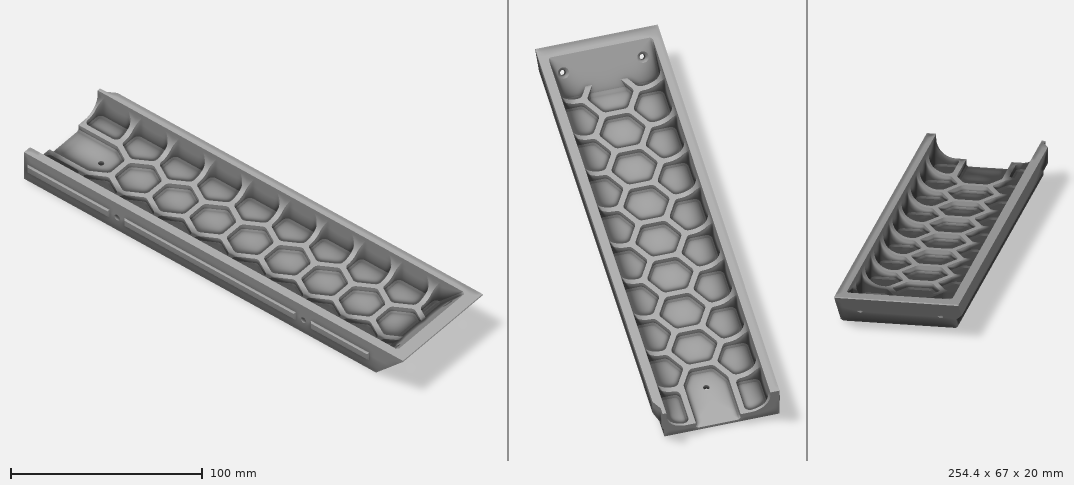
import cadquery as cq
import math

HEIGHT = 20.0
TOP_LENGTH = 255.0
HALF_WIDTH = 33.0
TIP_CHAMFER = 0.8
BASE_CHAMFER = 1.2

LIP_OVERHANG = 4.0
LIP_FACE_HEIGHT = 9.0
LIP_START_OVERHANG = 1.0
LIP_RAMP_START = 4.0
LIP_RAMP_ANGLE = 30.0

CAVITY_HALF_WIDTH = 28.0
END_WALL_ALONG_X = 8.3
FLOOR_Z = 3.0
RIB_TOP_Z = 7.0
SCOOP_RADIUS = 10.5
END_WALL_SIDE_CHAMFER = 1.0
END_WALL_FLOOR_CHAMFER = math.sqrt(2)

CELL_PITCH = 25.0
RIB_WIDTH = 3.0
CELL_CORNER_RADIUS = 3.0
CELL_FLOOR_CHAMFER = 1.0
MIDDLE_CELLS = 9
SIDE_CELLS = 9
CHANNEL_HALF_WIDTH = 12.0

RAIL_SPANS = [(2.5, 57.5), (67.5, 182.5), (192.5, 231.7)]
RAIL_HEIGHT = 5.2
RAIL_DEPTH = 1.0
RAIL_CHAMFER = 0.8
RAIL_Z = 10.0
PIN_HOLES_X = [62.5, 187.5]
PIN_HOLE_DIAMETER = 3.6
PIN_HOLE_DEPTH = 4.0

FLOOR_HOLE_X = 25.0
FLOOR_HOLE_DIAMETER = 3.3
SCREW_Y = 21.4
SCREW_Z = 13.4
SCREW_HEAD_DIAMETER = 6.0
SCREW_DIAMETER = 3.0

SIDE_ROW_Y = CELL_PITCH * math.sqrt(3) / 2
CELL_FLATS = CELL_PITCH - RIB_WIDTH
CAVITY_TOP_LENGTH = TOP_LENGTH - END_WALL_ALONG_X
END_WALL_THICKNESS = END_WALL_ALONG_X * math.sqrt(0.5)


def sloped_prism(top_length, half_width, z_bottom):
    """Prism along X whose +X end leans out at 45 degrees up to top_length."""
    rise = HEIGHT - z_bottom
    return (
        cq.Workplane("XZ")
        .moveTo(0, z_bottom)
        .lineTo(top_length - rise, z_bottom)
        .lineTo(top_length, HEIGHT)
        .lineTo(0, HEIGHT)
        .close()
        .extrude(half_width, both=True)
    )


def base_body():
    """Tray block with the lip overhang, its tip and base edges chamfered."""
    block = sloped_prism(TOP_LENGTH, HALF_WIDTH, 0)
    block = block.edges(">X").chamfer(TIP_CHAMFER)
    lower_side = HALF_WIDTH - LIP_OVERHANG
    shoulder_z = HEIGHT - LIP_FACE_HEIGHT - LIP_OVERHANG
    under_lip = (
        cq.Workplane("YZ")
        .moveTo(lower_side, 0)
        .lineTo(lower_side, shoulder_z)
        .lineTo(HALF_WIDTH, shoulder_z + LIP_OVERHANG)
        .lineTo(HALF_WIDTH, 0)
        .close()
        .extrude(TOP_LENGTH)
    )
    return block.cut(under_lip).faces("<Z").edges("not >X").chamfer(BASE_CHAMFER)


def lip_lead_in():
    """Cutter that ramps the lip away at the -X end."""
    start_y = HALF_WIDTH - LIP_OVERHANG + LIP_START_OVERHANG
    ramp_length = (HALF_WIDTH - start_y) / math.tan(math.radians(LIP_RAMP_ANGLE))
    return (
        cq.Workplane("XY")
        .moveTo(0, start_y)
        .lineTo(LIP_RAMP_START, start_y)
        .lineTo(LIP_RAMP_START + ramp_length, HALF_WIDTH)
        .lineTo(0, HALF_WIDTH)
        .close()
        .extrude(HEIGHT)
    )


def cavity_envelope():
    """Largest extent of the hollow: chamfered where the sloped end meets floor and walls."""
    envelope = sloped_prism(CAVITY_TOP_LENGTH, CAVITY_HALF_WIDTH, FLOOR_Z)
    envelope = envelope.faces("<Z").edges(">X").chamfer(END_WALL_FLOOR_CHAMFER)
    sloped_face = envelope.faces(cq.selectors.DirectionMinMaxSelector(cq.Vector(1, 0, -1), True))
    return sloped_face.edges("not |Y").chamfer(END_WALL_SIDE_CHAMFER)


def scoop():
    """Open trough above the ribs with rounded lower corners."""
    depth = HEIGHT - RIB_TOP_Z
    return (
        cq.Workplane("XY", origin=(0, 0, RIB_TOP_Z))
        .rect(2 * TOP_LENGTH, 2 * CAVITY_HALF_WIDTH)
        .extrude(depth)
        .edges("|X and <Z")
        .fillet(SCOOP_RADIUS)
    )


def finish_pocket(prism):
    """Round the upright corners and chamfer the floor edge of a pocket."""
    return prism.edges("|Z").fillet(CELL_CORNER_RADIUS).faces("<Z").edges().chamfer(CELL_FLOOR_CHAMFER)


def hexagon(x, y):
    """Hexagonal prism with two flats facing along X."""
    return (
        cq.Workplane("XY", origin=(x, y, FLOOR_Z))
        .polygon(6, CELL_FLATS, circumscribed=True)
        .extrude(HEIGHT - FLOOR_Z)
    )


def block(x_min, x_max, y_min, y_max):
    """Rectangular prism from the cavity floor to the top of the tray."""
    return (
        cq.Workplane("XY", origin=(0, 0, FLOOR_Z))
        .moveTo((x_min + x_max) / 2, (y_min + y_max) / 2)
        .rect(x_max - x_min, y_max - y_min)
        .extrude(HEIGHT - FLOOR_Z)
    )


def entry_channel():
    """First centre cell, stretched out past the -X end as a straight channel."""
    flat_x = CELL_PITCH + CELL_FLATS / 2
    flat_half_length = CELL_FLATS / (2 * math.sqrt(3))
    shoulder_x = flat_x - (CHANNEL_HALF_WIDTH - flat_half_length) * math.sqrt(3)
    return (
        cq.Workplane("XY", origin=(0, 0, FLOOR_Z))
        .moveTo(-CELL_PITCH, -CHANNEL_HALF_WIDTH)
        .lineTo(shoulder_x, -CHANNEL_HALF_WIDTH)
        .lineTo(flat_x, -flat_half_length)
        .lineTo(flat_x, flat_half_length)
        .lineTo(shoulder_x, CHANNEL_HALF_WIDTH)
        .lineTo(-CELL_PITCH, CHANNEL_HALF_WIDTH)
        .close()
        .extrude(HEIGHT - FLOOR_Z)
    )


def middle_pockets():
    """Centre row; the first cell runs out through the -X end as a channel."""
    pockets = [finish_pocket(entry_channel())]
    for i in range(1, MIDDLE_CELLS):
        pockets.append(finish_pocket(hexagon(CELL_PITCH * (i + 1), 0)))
    return pockets


def side_pockets(side):
    """Row beside one long wall, side = +1 or -1, cut off by that wall."""
    near_rib = CHANNEL_HALF_WIDTH + RIB_WIDTH
    row = block(0, TOP_LENGTH, 0, CAVITY_HALF_WIDTH)
    pockets = [block(RIB_WIDTH / 2, CELL_PITCH - RIB_WIDTH / 2, near_rib, CAVITY_HALF_WIDTH)]
    for i in range(SIDE_CELLS):
        pockets.append(hexagon(CELL_PITCH * (i + 1.5), SIDE_ROW_Y).intersect(row))
    pockets = [finish_pocket(pocket) for pocket in pockets]
    if side < 0:
        pockets = [pocket.mirror("XZ") for pocket in pockets]
    return pockets


def cavity():
    """Whole hollow of the tray: the scoop and all pockets, kept inside the envelope."""
    hollow = scoop()
    for pocket in middle_pockets() + side_pockets(1) + side_pockets(-1):
        hollow = hollow.union(pocket)
    return hollow.intersect(cavity_envelope())


def rail(x_start, x_end):
    """Low bar on the -Y side with its outer edges chamfered."""
    return (
        cq.Workplane("XZ", origin=(0, -HALF_WIDTH, RAIL_Z))
        .moveTo((x_start + x_end) / 2, 0)
        .rect(x_end - x_start, RAIL_HEIGHT)
        .extrude(RAIL_DEPTH)
        .faces("<Y")
        .edges()
        .chamfer(RAIL_CHAMFER)
    )


def pin_hole(x):
    """Blind round hole in the -Y side."""
    return (
        cq.Workplane("XZ", origin=(x, -HALF_WIDTH, RAIL_Z))
        .circle(PIN_HOLE_DIAMETER / 2)
        .extrude(-PIN_HOLE_DEPTH)
    )


def screw_hole(y):
    """Countersunk through hole drilled from inside the sloped end wall."""
    x = CAVITY_TOP_LENGTH - (HEIGHT - SCREW_Z)
    wall = cq.Plane(origin=(x, y, SCREW_Z), xDir=(0, 1, 0), normal=(1, 0, -1))
    head_radius = SCREW_HEAD_DIAMETER / 2
    shank_radius = SCREW_DIAMETER / 2
    head = (
        cq.Workplane(wall)
        .circle(head_radius)
        .workplane(offset=head_radius - shank_radius)
        .circle(shank_radius)
        .loft()
    )
    shank = cq.Workplane(wall).circle(shank_radius).extrude(2 * END_WALL_THICKNESS)
    return head.union(shank)


tray = base_body().cut(lip_lead_in()).cut(cavity())
for start, end in RAIL_SPANS:
    tray = tray.union(rail(start, end))
for hole_x in PIN_HOLES_X:
    tray = tray.cut(pin_hole(hole_x))
for screw_y in (-SCREW_Y, SCREW_Y):
    tray = tray.cut(screw_hole(screw_y))
floor_hole = cq.Workplane("XY").center(FLOOR_HOLE_X, 0).circle(FLOOR_HOLE_DIAMETER / 2).extrude(HEIGHT)
result = tray.cut(floor_hole)